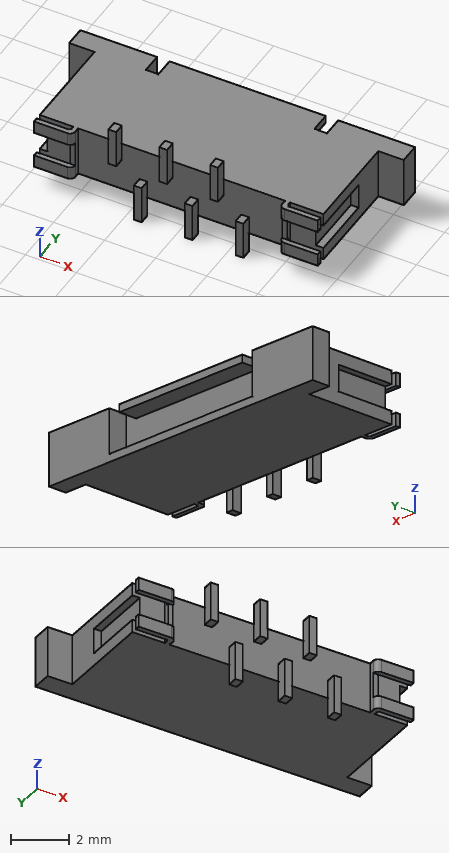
import cadquery as cq

LENGTH = 13.1
BODY_LENGTH = 11.11
BODY_DEPTH = 4.69
HEIGHT = 2.0
FLANGE_DEPTH = 0.8

WALL = 0.3
NOTCH_WIDTH = 0.48
NOTCH_OFFSET = 3.3
CAVITY_DEPTH = FLANGE_DEPTH

POCKET_LENGTH = 2.49
POCKET_HEIGHT = 1.0
POCKET_DEPTH = 0.3

PITCH = 1.0
PIN_COUNT = 6
PIN_WIDTH = 0.3
PIN_REACH = 0.4
PIN_SPAN = 3.6
PIN_INNER_Z = 0.29
PIN_OUTER_Z = PIN_SPAN / 2

CLIP_LENGTH = 1.5
CLIP_THICKNESS = 0.2
CLIP_OUTER_RADIUS = 0.2
CLIP_INNER_RADIUS = 0.09


def block(x_range, y_range, z_range):
    """Axis-aligned box between the given limits."""
    ranges = (x_range, y_range, z_range)
    sizes = [high - low for low, high in ranges]
    corner = tuple(low for low, high in ranges)
    return cq.Workplane("XY").box(*sizes, centered=False).translate(corner)


def make_housing():
    half_height = HEIGHT / 2
    half_body = BODY_LENGTH / 2
    flange_front = BODY_DEPTH - FLANGE_DEPTH
    z_range = (-half_height, half_height)
    housing = block((-half_body, half_body), (0, BODY_DEPTH), z_range)
    flange = block((-LENGTH / 2, LENGTH / 2), (flange_front, BODY_DEPTH), z_range)
    housing = housing.union(flange)

    half_cavity = NOTCH_OFFSET + NOTCH_WIDTH / 2
    cavity_y = (BODY_DEPTH - CAVITY_DEPTH, BODY_DEPTH)
    cavity_top = half_height - WALL
    cavity = block((-half_cavity, half_cavity), cavity_y, (-cavity_top, cavity_top))
    notch = block((half_cavity - NOTCH_WIDTH, half_cavity), cavity_y, (0, half_height))
    housing = housing.cut(cavity).cut(notch).cut(notch.mirror("YZ"))

    pocket = block(
        (-half_body, -half_body + POCKET_DEPTH),
        (0, POCKET_LENGTH),
        (-POCKET_HEIGHT / 2, POCKET_HEIGHT / 2),
    )
    return housing.cut(pocket).cut(pocket.mirror("YZ"))


def make_clip():
    """Left clip: a stem out of the front face bent into two outward legs."""
    outer_x = -BODY_LENGTH / 2
    stem_x = outer_x + CLIP_LENGTH
    leg_back = -PIN_REACH + CLIP_THICKNESS
    clip = (
        cq.Workplane("XY")
        .moveTo(stem_x, 0)
        .lineTo(stem_x, -PIN_REACH + CLIP_OUTER_RADIUS)
        .radiusArc((stem_x - CLIP_OUTER_RADIUS, -PIN_REACH), CLIP_OUTER_RADIUS)
        .lineTo(outer_x, -PIN_REACH)
        .lineTo(outer_x, leg_back)
        .lineTo(stem_x - CLIP_THICKNESS - CLIP_INNER_RADIUS, leg_back)
        .radiusArc((stem_x - CLIP_THICKNESS, leg_back + CLIP_INNER_RADIUS), -CLIP_INNER_RADIUS)
        .lineTo(stem_x - CLIP_THICKNESS, 0)
        .close()
        .extrude(HEIGHT / 2, both=True)
    )
    gap_z = (-POCKET_HEIGHT / 2, POCKET_HEIGHT / 2)
    front_gap = block((outer_x, stem_x), (-PIN_REACH, leg_back), gap_z)
    bend_gap = block((outer_x, stem_x - CLIP_THICKNESS), (leg_back, 0), gap_z)
    return clip.cut(front_gap).cut(bend_gap)


def make_pin(index):
    """Pins alternate between the upper and lower row, starting with the upper."""
    x = (index - (PIN_COUNT - 1) / 2) * PITCH
    if index % 2 == 0:
        z_range = (PIN_INNER_Z, PIN_OUTER_Z)
    else:
        z_range = (-PIN_OUTER_Z, -PIN_INNER_Z)
    return block((x - PIN_WIDTH / 2, x + PIN_WIDTH / 2), (-PIN_REACH, 0), z_range)


left_clip = make_clip()
result = make_housing().union(left_clip).union(left_clip.mirror("YZ"))
for pin_index in range(PIN_COUNT):
    result = result.union(make_pin(pin_index))